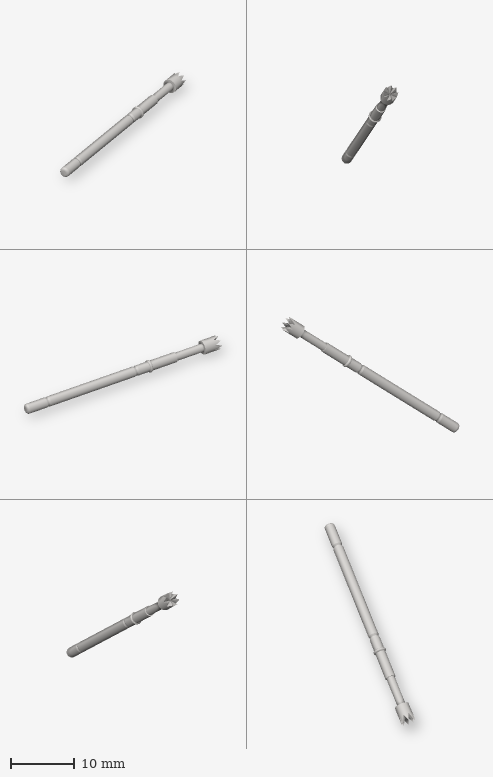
import cadquery as cq
import math

length = 35.4

head_radius = 2.3 / 2
head_length = 3.0
tooth_count = 8
tooth_depth = 1.17

plunger_radius = 1.35 / 2

barrel_radius = 1.65 / 2
mouth_y = 27.4
tail_fillet = 0.42

ring_y = 22.65
ring_half_width = 0.25
ring_radius = 2.05 / 2

groove_positions = (3.93, 20.1)
groove_half_width = 0.32
groove_depth = 0.125


def cylinder(radius, start_y, end_y):
    """Round bar along Y."""
    return cq.Workplane("XZ", origin=(0, start_y, 0)).circle(radius).extrude(start_y - end_y)


def barrel():
    """Tube body with a rounded tail and the press-fit ring."""
    flat_radius = barrel_radius - tail_fillet
    arc_offset = tail_fillet * math.sqrt(0.5)
    fillet_middle = (flat_radius + arc_offset, tail_fillet - arc_offset)
    profile = (
        cq.Workplane("XY")
        .lineTo(flat_radius, 0)
        .threePointArc(fillet_middle, (barrel_radius, tail_fillet))
        .lineTo(barrel_radius, ring_y - ring_half_width)
        .threePointArc((ring_radius, ring_y), (barrel_radius, ring_y + ring_half_width))
        .lineTo(barrel_radius, mouth_y)
        .lineTo(0, mouth_y)
        .close()
    )
    return profile.revolve(360, (0, 0, 0), (0, 1, 0))


def crimp_groove(y):
    """V-shaped groove cutter around the barrel."""
    return (
        cq.Workplane("XY")
        .moveTo(barrel_radius, y - groove_half_width)
        .lineTo(barrel_radius - groove_depth, y)
        .lineTo(barrel_radius, y + groove_half_width)
        .close()
        .revolve(360, (0, 0, 0), (0, 1, 0))
    )


def tooth_gap(angle):
    """V-shaped cutter across the crown; neighbouring gaps meet in a point on the rim."""
    half_width = head_radius * math.sin(math.pi / tooth_count)
    return (
        cq.Workplane("XY")
        .moveTo(-half_width, length)
        .lineTo(0, length - tooth_depth)
        .lineTo(half_width, length)
        .close()
        .extrude(head_radius * 2, both=True)
        .rotate((0, 0, 0), (0, 1, 0), angle)
    )


def crown_head():
    """Cylindrical head with pointed teeth."""
    head = cylinder(head_radius, length - head_length, length)
    pitch = 360 / tooth_count
    for index in range(tooth_count // 2):
        head = head.cut(tooth_gap(pitch * (index + 0.5)))
    return head


body = barrel()
for position in groove_positions:
    body = body.cut(crimp_groove(position))

plunger = cylinder(plunger_radius, mouth_y, length - head_length)
result = body.union(plunger).union(crown_head())